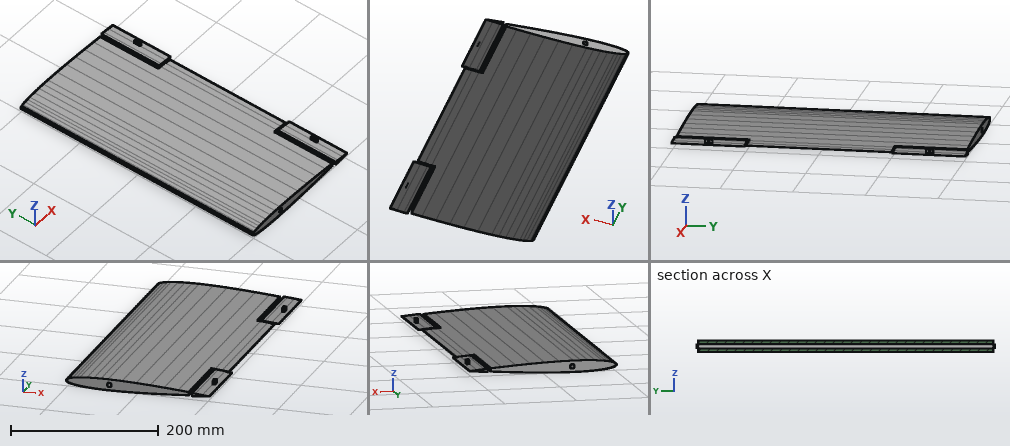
import cadquery as cq
import math

CHORD = 200.0
SPAN = 400.0
THICKNESS_RATIO = 0.08
THICKNESS_COEFFICIENTS = (0.2969, -0.126, -0.3516, 0.2843, -0.1015)
STATION_PERCENTS = (0, 1.25, 2.5, 5, 7.5, 10, 15, 20, 25, 30, 40, 50, 60, 70, 80, 90, 95, 100)

SPAR_HOLE_DIAMETER = 6.0
SPAR_HOLE_X = 62.0

ELEVON_LENGTH = SPAN / 4
ELEVON_CUT_X = 0.875 * CHORD
ELEVON_OFFSET_X = 0.025 * CHORD
ELEVON_OFFSET_Y = 2.0

HORN_X = 0.95 * CHORD + ELEVON_OFFSET_X
HORN_THICKNESS = 3.0
HORN_WIDTH = 10.0
HORN_TOP_Z = 6.0
HORN_CHAMFER = 1.5
HORN_HOLE_DIAMETER = 2.0
HORN_HOLE_Z = HORN_TOP_Z / 2

BLOCK_HEIGHT = 2 * THICKNESS_RATIO * CHORD
BLOCK_LENGTH_X = CHORD - ELEVON_CUT_X + 4


def half_thickness(fraction):
    """Height of the airfoil surface above the chord plane, at a fraction of the chord."""
    root, *powers = THICKNESS_COEFFICIENTS
    shape = root * math.sqrt(fraction) + sum(c * fraction ** (i + 1) for i, c in enumerate(powers))
    return 5 * THICKNESS_RATIO * CHORD * shape


def airfoil_blank():
    """Full-span airfoil prism, leading edge at X = 0 and centred on Y = 0."""
    fractions = [percent / 100 for percent in STATION_PERCENTS]
    upper = [(CHORD * f, half_thickness(f)) for f in fractions]
    lower = [(x, -z) for x, z in reversed(upper[1:])]
    return cq.Workplane("XZ").polyline(upper + lower).close().extrude(SPAN / 2, both=True)


def elevon_block(side):
    """Box around the trailing corner at the +Y (side = 1) or -Y (side = -1) end."""
    return (
        cq.Workplane("XY")
        .box(BLOCK_LENGTH_X, ELEVON_LENGTH, BLOCK_HEIGHT, centered=(False, True, True))
        .translate((ELEVON_CUT_X, side * (SPAN - ELEVON_LENGTH) / 2, 0))
    )


def make_wing():
    wing = airfoil_blank()
    for side in (-1, 1):
        wing = wing.cut(elevon_block(side))
    spar_hole = (
        cq.Workplane("XZ")
        .center(SPAR_HOLE_X, 0)
        .circle(SPAR_HOLE_DIAMETER / 2)
        .extrude(SPAN / 2, both=True)
    )
    return wing.cut(spar_hole)


def make_horn(center_y):
    """Upright plate standing on the chord plane, with chamfered top corners and a hole along X."""
    plate = (
        cq.Workplane("XY")
        .box(HORN_THICKNESS, HORN_WIDTH, HORN_TOP_Z, centered=(False, True, False))
        .edges("|X and >Z")
        .chamfer(HORN_CHAMFER)
    )
    hole = (
        cq.Workplane("YZ")
        .center(0, HORN_HOLE_Z)
        .circle(HORN_HOLE_DIAMETER / 2)
        .extrude(HORN_THICKNESS)
    )
    return plate.cut(hole).translate((HORN_X, center_y, 0))


def make_elevon(side):
    offset_y = side * ELEVON_OFFSET_Y
    flap = airfoil_blank().intersect(elevon_block(side)).translate((ELEVON_OFFSET_X, offset_y, 0))
    center_y = side * (SPAN - ELEVON_LENGTH) / 2 + offset_y
    return flap.union(make_horn(center_y))


wing = make_wing()
elevons = [make_elevon(side) for side in (-1, 1)]

result = cq.Compound.makeCompound([wing.val(), *(elevon.val() for elevon in elevons)])